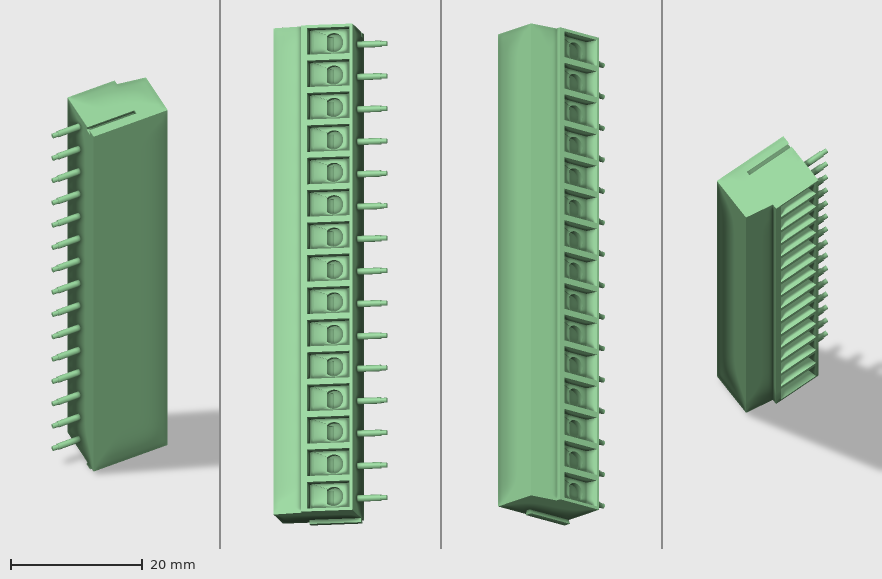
import cadquery as cq


total_height = 75.7
rail_height = 0.7
body_height = total_height - rail_height
body_width = 9.0
body_depth = 12.5

way_count = 15
pitch = body_height / way_count

step_y = 7.95
shoulder_foot_x = 0.8
shoulder_top_x = 1.5

dovetail_x = 7.2
dovetail_neck_width = 0.7
dovetail_wide_width = 1.2
groove_depth = 0.75

pocket_height = 4.1
pocket_depth = 1.8
pocket_front_y = 0.45
pocket_front_draft = 0.45
pocket_back_y = 7.05

floor_end_y = 6.3
gap_front_y = 6.8
gap_slope_drop = 0.2
gap_depth = 0.45

lead_in_depth = 0.15
lead_in_wide = 3.9
lead_in_narrow = 2.4
lead_in_end_y = 4.3

hole_y = 3.25
hole_diameter = 2.95
hole_depth = 1.0
trough_width = 2.1
trough_start_y = 3.4
trough_middle_y = 3.8
trough_drop = 0.15

pin_x = 4.1
pin_length = 4.55
pin_diameter = 1.0
pin_tip_length = 0.9
pin_tip_diameter = 0.75
pin_embed = 0.75


def prism_along_z(points, height, z_center):
    """Extrude an XY outline symmetrically about z_center."""
    plane = cq.Workplane("XY").workplane(offset=z_center - height / 2)
    return plane.polyline(points).close().extrude(height)


def make_body():
    outline = [
        (0, 0),
        (body_width, 0),
        (body_width, body_depth),
        (shoulder_top_x, body_depth),
        (shoulder_foot_x, step_y),
        (0, step_y),
    ]
    return prism_along_z(outline, body_height, body_height / 2)


def make_dovetail(neck_z, height):
    """Dovetail bar along Y, narrow at neck_z and widening downwards."""
    neck = dovetail_neck_width / 2
    wide = dovetail_wide_width / 2
    wide_z = neck_z - height
    outline = [
        (dovetail_x - neck, neck_z),
        (dovetail_x + neck, neck_z),
        (dovetail_x + wide, wide_z),
        (dovetail_x - wide, wide_z),
    ]
    return cq.Workplane("XZ").polyline(outline).close().extrude(-step_y)


def make_pocket(z):
    """Cutter for the wire mouth, with the gap along its back wall."""
    gap_top_x = pocket_depth + gap_slope_drop
    outline = [
        (0, pocket_front_y),
        (pocket_depth, pocket_front_y + pocket_front_draft),
        (pocket_depth, floor_end_y),
        (gap_top_x, gap_front_y),
        (gap_top_x + gap_depth, gap_front_y),
        (gap_top_x + gap_depth, pocket_back_y),
        (0, pocket_back_y),
    ]
    return prism_along_z(outline, pocket_height, z)


def make_lead_in(z):
    """Cutter for the shallow trapezoid guiding the wire to the hole."""
    outline = [
        (floor_end_y, -lead_in_wide / 2),
        (floor_end_y, lead_in_wide / 2),
        (lead_in_end_y, lead_in_narrow / 2),
        (lead_in_end_y, -lead_in_narrow / 2),
    ]
    floor = cq.Workplane("YZ", origin=(pocket_depth, 0, z))
    return floor.polyline(outline).close().extrude(lead_in_depth)


def make_wire_hole(z):
    """Cutter for the wire hole below the pocket floor."""
    hole_end_y = hole_y + hole_diameter / 2
    bottom_x = pocket_depth + hole_depth
    floor = cq.Workplane("YZ", origin=(pocket_depth, 0, z))
    bore = floor.center(hole_y, 0).circle(hole_diameter / 2).extrude(hole_depth)

    top_x = pocket_depth + lead_in_depth
    step_outline = [
        (top_x, trough_start_y),
        (bottom_x, trough_start_y),
        (bottom_x, hole_end_y),
        (top_x, hole_end_y),
    ]
    step = prism_along_z(step_outline, trough_width, z)
    trough = (
        cq.Workplane("XY", origin=(0, 0, z - trough_width / 2))
        .moveTo(top_x, trough_start_y)
        .lineTo(bottom_x, trough_start_y)
        .threePointArc(
            (bottom_x + trough_drop, trough_middle_y),
            (top_x, lead_in_end_y),
        )
        .close()
        .extrude(trough_width)
    )
    return bore.cut(step).union(trough)


def make_wire_entry(z):
    return make_pocket(z).union(make_lead_in(z)).union(make_wire_hole(z))


def make_pin(z):
    """Round pin pointing along -Y with a thinner tip, rooted inside the body."""
    shank_length = pin_length - pin_tip_length
    root = cq.Workplane("XZ", origin=(pin_x, pin_embed, z))
    shank = root.circle(pin_diameter / 2).extrude(pin_embed + shank_length)
    return shank.faces("<Y").workplane().circle(pin_tip_diameter / 2).extrude(pin_tip_length)


result = make_body().cut(make_dovetail(body_height, groove_depth))
result = result.union(make_dovetail(0, rail_height))

for way in range(way_count):
    way_z = (way + 0.5) * pitch
    result = result.cut(make_wire_entry(way_z)).union(make_pin(way_z))